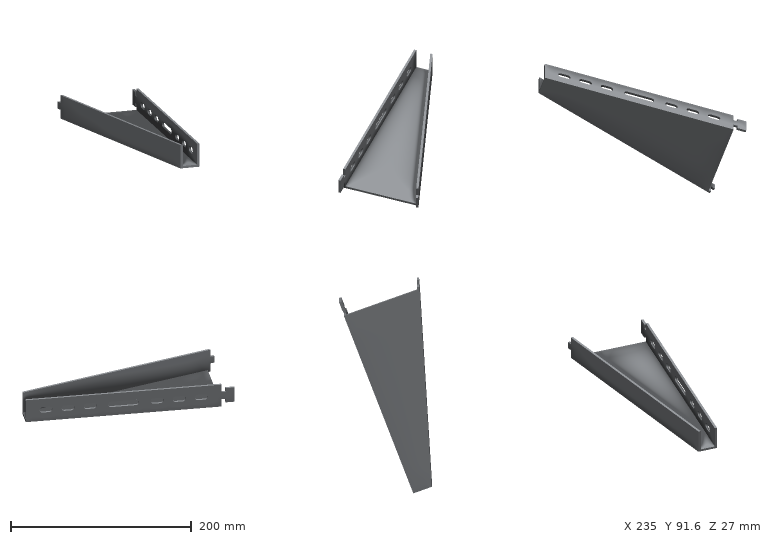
import cadquery as cq
import math

length = 235.0
depth = 91.6
height = 27.0
sheet = 2.5
body_start = 14.8
tip_depth = 21.9
mid_height = height / 2

hook_head_length = 10.3
hook_head_height = 17.6
hook_neck_height = 8.7

tab_corner_x = 7.5
tab_length = 5.2
tab_height = 8.0
tab_center_z = 14.0

slot_height = 6.5
short_slot_length = 14.3
long_slot_length = 34.8
slot_pitch = 25.0
first_slot_offset = 37.5
short_slots_per_side = 3

slope_run = length - tab_corner_x
slope_rise = depth - tip_depth
slope = math.atan2(slope_rise, slope_run)
wall_length = math.hypot(slope_run, slope_rise)


def front_edge_y(x):
    """Y of the outer face of the front wall at a given X."""
    return -tip_depth - (length - x) * math.tan(slope)


def box(x_start, x_end, y_start, y_end, z_start, z_end):
    size = (x_end - x_start, y_end - y_start, z_end - z_start)
    return cq.Workplane("XY").box(*size, centered=False).translate((x_start, y_start, z_start))


def make_base():
    return (
        cq.Workplane("XY")
        .moveTo(body_start, 0)
        .lineTo(length, 0)
        .lineTo(length, front_edge_y(length))
        .lineTo(body_start, front_edge_y(body_start))
        .close()
        .extrude(sheet)
    )


def slot_cutter(center_x, slot_length):
    return (
        cq.Workplane("XZ")
        .center(center_x, mid_height)
        .slot2D(slot_length, slot_height)
        .extrude(sheet)
    )


def make_rear_wall():
    head_bottom = mid_height - hook_head_height / 2
    neck_bottom = mid_height - hook_neck_height / 2
    wall = box(body_start, length, -sheet, 0, 0, height)
    head = box(0, hook_head_length, -sheet, 0, head_bottom, head_bottom + hook_head_height)
    neck = box(hook_head_length, body_start, -sheet, 0, neck_bottom, neck_bottom + hook_neck_height)
    wall = wall.union(head).union(neck)

    center_x = (body_start + length) / 2
    wall = wall.cut(slot_cutter(center_x, long_slot_length))
    for side in (-1, 1):
        for index in range(short_slots_per_side):
            offset = first_slot_offset + index * slot_pitch
            wall = wall.cut(slot_cutter(center_x + side * offset, short_slot_length))
    return wall


def make_front_wall():
    tab_bottom = tab_center_z - tab_height / 2
    wall = box(tab_length, wall_length + sheet, 0, sheet, 0, height)
    tab = box(0, tab_length, 0, sheet, tab_bottom, tab_bottom + tab_height)
    wall = wall.union(tab)
    wall = wall.rotate((0, 0, 0), (0, 0, 1), math.degrees(slope))
    wall = wall.translate((tab_corner_x, -depth, 0))
    return wall.intersect(box(0, length, -depth, 0, 0, height))


result = make_base().union(make_rear_wall()).union(make_front_wall())